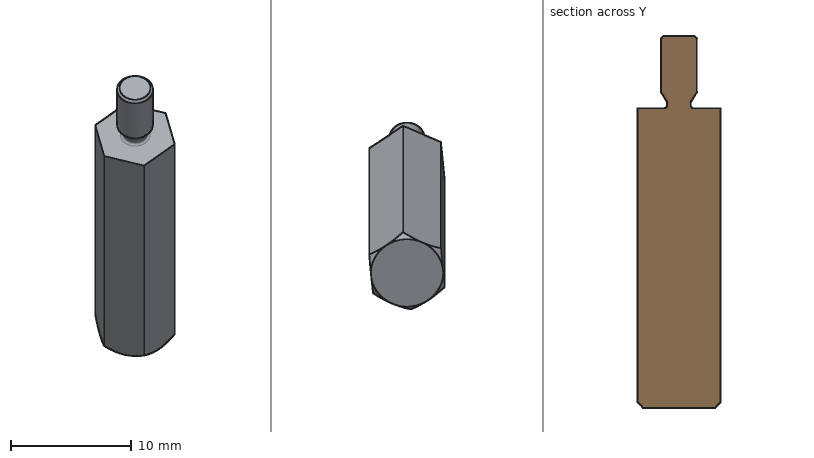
import cadquery as cq
import math

total_height = 31.0
stud_length = 6.0
body_height = total_height - stud_length
across_flats = 6.0
across_corners = across_flats / math.cos(math.pi / 6)

stud_radius = 3.0 / 2
neck_radius = 2.0 / 2
tip_chamfer = 0.22
root_radius = 2.45 / 2
neck_fillet = root_radius - neck_radius
neck_top = 0.53
taper_top = 1.3
selection_margin = 0.03

foot_radius = across_flats / 2
foot_chamfer_height = 0.5
corner_radius = across_corners / 2


def hex_body():
    """Hexagonal bar with two corners on X and a conical chamfer at its foot."""
    bar = cq.Workplane("XY").polygon(6, across_corners).extrude(body_height)
    envelope = (
        cq.Workplane("XZ")
        .moveTo(0, 0)
        .lineTo(foot_radius, 0)
        .lineTo(corner_radius, foot_chamfer_height)
        .lineTo(corner_radius, body_height)
        .lineTo(0, body_height)
        .close()
        .revolve(360, (0, 0, 0), (0, 1, 0))
    )
    return bar.intersect(envelope)


def stud():
    """Stud with a flared root, a narrow neck, a tapered shoulder and a chamfered tip."""
    fillet_inset = neck_fillet * (1 - math.sqrt(0.5))
    profile = (
        cq.Workplane("XZ", origin=(0, 0, body_height))
        .moveTo(0, 0)
        .lineTo(root_radius, 0)
        .threePointArc((neck_radius + fillet_inset, fillet_inset), (neck_radius, neck_fillet))
        .lineTo(neck_radius, neck_top)
        .lineTo(stud_radius, taper_top)
        .lineTo(stud_radius, stud_length - tip_chamfer)
        .lineTo(stud_radius - tip_chamfer, stud_length)
        .lineTo(0, stud_length)
        .close()
    )
    turned = profile.revolve(360, (0, 0, 0), (0, 1, 0))
    neck_edge = cq.selectors.BoxSelector(
        (-stud_radius, -stud_radius, body_height + neck_fillet + selection_margin),
        (stud_radius, stud_radius, body_height + taper_top - selection_margin),
        boundingbox=True,
    )
    return turned.edges("%CIRCLE").edges(neck_edge).fillet(neck_fillet)


result = hex_body().union(stud())